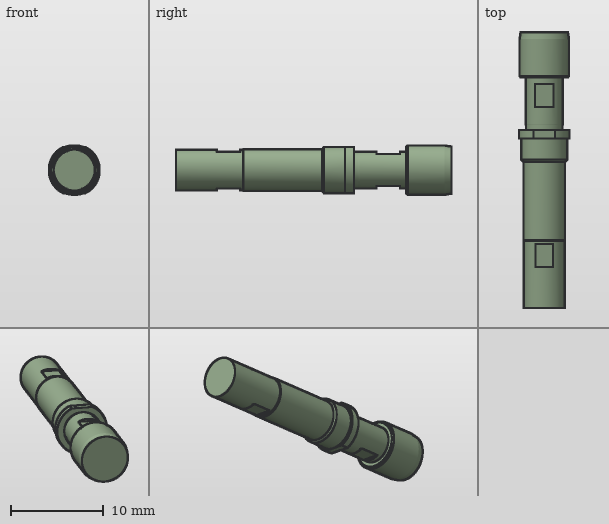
import cadquery as cq

LENGTH = 29.7

TIP_DIA = 4.43
BODY_DIA = 4.5
SHOULDER_DIA = 5.0
COLLAR_DIA = 5.5
RELIEF_DIA = 3.98
NECK_DIA = 4.0
CAP_DIA = 5.35
CAP_END_DIA = 5.1

BODY_START = 7.22
SHOULDER_START = 15.75
COLLAR_START = 18.25
RELIEF_START = 19.2
NECK_START = 19.72
CAP_START = 24.8

BODY_CHAMFER_LENGTH = 0.1
SHOULDER_CHAMFER_LENGTH = 0.25
NECK_CHAMFER_LENGTH = 0.1
CAP_CHAMFER = 0.18
CAP_TAPER_LENGTH = 0.75

FLAT_LENGTH = 2.5
TIP_FLATS_START = 4.43
TIP_FLATS_ACROSS = 3.98
NECK_FLATS_START = 21.62
NECK_FLATS_ACROSS = 3.47


def turned_body():
    """Revolve the stepped half profile, given as (diameter, Y) stations, about the Y axis."""
    stations = [
        (TIP_DIA, 0),
        (TIP_DIA, BODY_START),
        (BODY_DIA, BODY_START + BODY_CHAMFER_LENGTH),
        (BODY_DIA, SHOULDER_START),
        (SHOULDER_DIA, SHOULDER_START + SHOULDER_CHAMFER_LENGTH),
        (SHOULDER_DIA, COLLAR_START),
        (COLLAR_DIA, COLLAR_START),
        (COLLAR_DIA, RELIEF_START),
        (RELIEF_DIA, RELIEF_START),
        (RELIEF_DIA, NECK_START),
        (NECK_DIA, NECK_START + NECK_CHAMFER_LENGTH),
        (NECK_DIA, CAP_START),
        (CAP_DIA - 2 * CAP_CHAMFER, CAP_START),
        (CAP_DIA, CAP_START + CAP_CHAMFER),
        (CAP_DIA, LENGTH - CAP_TAPER_LENGTH),
        (CAP_END_DIA, LENGTH),
    ]
    outline = [(diameter / 2, y) for diameter, y in stations]
    profile = cq.Workplane("XY").polyline([(0, 0)] + outline + [(0, LENGTH)]).close()
    return profile.revolve(360, (0, 0), (0, 1))


def cut_flats(body, start, end, across):
    """Mill two parallel flats, `across` apart in Z, between two Y positions."""
    for side in (1, -1):
        cutter = cq.Workplane("XY").box(COLLAR_DIA, end - start, COLLAR_DIA)
        offset = (0, (start + end) / 2, side * (across + COLLAR_DIA) / 2)
        body = body.cut(cutter.translate(offset))
    return body


result = turned_body()
result = cut_flats(result, TIP_FLATS_START, TIP_FLATS_START + FLAT_LENGTH, TIP_FLATS_ACROSS)
result = cut_flats(result, NECK_FLATS_START, NECK_FLATS_START + FLAT_LENGTH, NECK_FLATS_ACROSS)
result = cut_flats(result, COLLAR_START, RELIEF_START, SHOULDER_DIA)